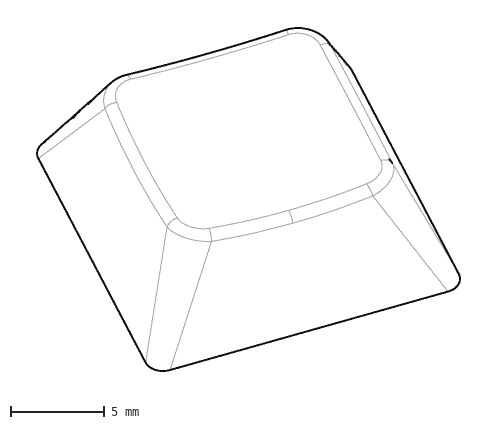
import cadquery as cq

BASE_SIDE = 18.0
BASE_CORNER_RADIUS = 1.0
UPPER_SIDE = 12.0
UPPER_CORNER_RADIUS = 2.0
TAPER_HEIGHT = 7.5

DISH_RADIUS = 39.96
DISH_FLOOR_HEIGHT = 6.0
RIM_FILLET_RADIUS = 0.6


def rounded_square(side, corner_radius):
    return cq.Sketch().rect(side, side).vertices().fillet(corner_radius)


def tapered_body():
    """Square frustum whose corner radius grows towards the top."""
    base = rounded_square(BASE_SIDE, BASE_CORNER_RADIUS)
    upper = rounded_square(UPPER_SIDE, UPPER_CORNER_RADIUS)
    upper = upper.moved(cq.Location(cq.Vector(0, 0, TAPER_HEIGHT)))
    return cq.Workplane("XY").placeSketch(base, upper).loft(ruled=True)


def dish_cutter():
    """Sphere whose lowest point is the middle of the dish."""
    centre_height = DISH_FLOOR_HEIGHT + DISH_RADIUS
    return cq.Workplane("XY").sphere(DISH_RADIUS).translate((0, 0, centre_height))


dished_body = tapered_body().cut(dish_cutter())

result = dished_body.faces("%SPHERE").edges().fillet(RIM_FILLET_RADIUS)